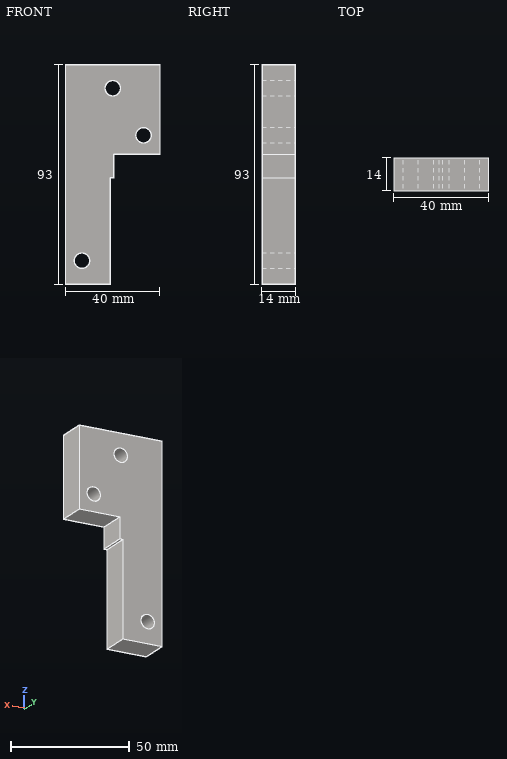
import cadquery as cq

height = 93.0
head_width = 40.0
thickness = 14.0

head_depth = 38.0
step_depth = 48.0
step_width = 20.5
arm_width = 19.0

hole_diameter = 6.4
end_inset = 10.0
arm_hole_x = 7.0
side_hole_inset = 7.0
side_hole_depth = 29.9

hole_centres = [
    (head_width / 2, height - end_inset),
    (head_width - side_hole_inset, height - side_hole_depth),
    (arm_hole_x, end_inset),
]

outline = [
    (0, 0),
    (arm_width, 0),
    (arm_width, height - step_depth),
    (step_width, height - step_depth),
    (step_width, height - head_depth),
    (head_width, height - head_depth),
    (head_width, height),
    (0, height),
]
plate = cq.Workplane("XZ").polyline(outline).close().extrude(-thickness)

holes = (
    cq.Workplane("XZ")
    .pushPoints(hole_centres)
    .circle(hole_diameter / 2)
    .extrude(-thickness)
)

result = plate.cut(holes)